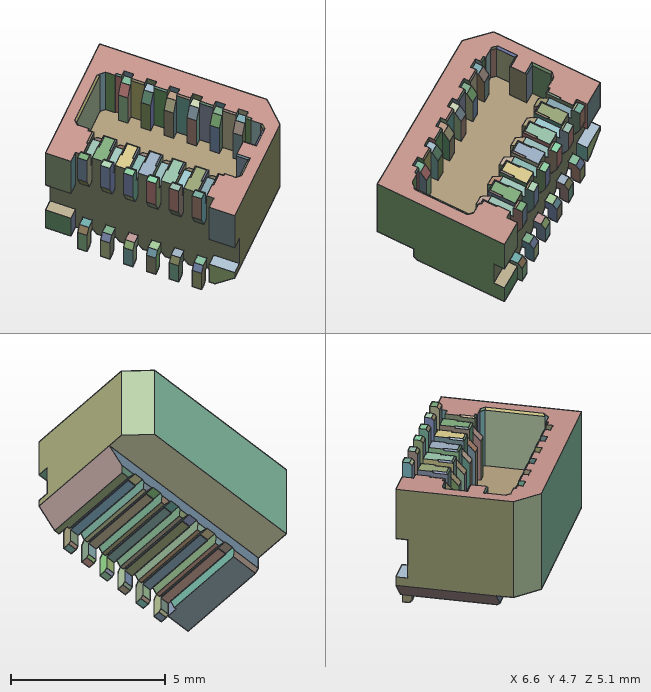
import cadquery as cq


WIDTH = 6.6
DEPTH = 4.65
HEIGHT = 4.2
REAR_CORNER_CHAMFER = 0.76
SIDE_CORNER_CHAMFER = 0.69
STEP_Y = 3.325
STEP_Z = 0.7
STEP_CHAMFER = 0.14

FOOT_WIDTH = 0.89
FOOT_HEIGHT = 0.39
UPPER_FOOT_LENGTH = 1.8
LOWER_FOOT_LENGTH = 1.0

CAVITY_Y = 2.555
CAVITY_DEPTH = 2.1
CAVITY_HALF_X = 2.84
CAVITY_HALF_Y = 1.135
CAVITY_CORNER = 0.14
RELIEF_HALF_X = 2.36
RELIEF_HALF_Y = 1.17
END_LEAD_IN = 0.07
ROW_LEAD_IN = 0.05
KEY_TIP_X = 2.45
KEY_WIDTH = 0.63

CONTACT_COUNT = 6
PITCH = 0.8
CONTACT_WIDTH = 0.33
CONTACT_DROP = 0.265
TIP_FROM_MIDDLE = 0.905
TIP_SLOPE_DROP = 0.42
REAR_CREST = 1.12
FRONT_CREST = 1.3
REAR_SLOT_END = 1.405
FRONT_LEAD_IN_END = 0.92

TAIL_PROUD = 0.045
TAIL_THICKNESS = 0.33
TAIL_CHAMFER = 0.09
UPPER_TAIL_RISE = 0.4
UPPER_BEND_START = 0.8
UPPER_BEND_END = 1.3
UPPER_BEND_RUN = 0.2
LOWER_TAIL_DROP = 0.5
LOWER_BAR_THICKNESS = 0.47
LOWER_BEND_TOP = 0.65
LOWER_BEND_BOTTOM = 0.41
LOWER_BEND_RUN = 0.16

LOWER_SLOT_TOP = 0.69
LOWER_SLOT_END = 2.995
FLARE_HEIGHT = 0.22
FLARE_REACH = 0.165

CONTACT_TOP = HEIGHT - CONTACT_DROP
FLOOR_Z = HEIGHT - CAVITY_DEPTH
TAIL_FACE_Y = -TAIL_PROUD
TAIL_BACK_Y = TAIL_FACE_Y + TAIL_THICKNESS
CONTACT_XS = [(i - (CONTACT_COUNT - 1) / 2) * PITCH for i in range(CONTACT_COUNT)]


def box(x0, x1, y0, y1, z0, z1):
    return cq.Workplane("XY").box(x1 - x0, y1 - y0, z1 - z0, centered=False).translate((x0, y0, z0))


def profile_plate(points, x, width):
    """Extrude a (Y, Z) outline along X, centred on x."""
    plane = cq.Workplane("YZ", origin=(x - width / 2, 0, 0))
    return plane.polyline(points).close().extrude(width)


def funnel(lower, upper, depth):
    """Lead-in widening from the outline `lower` to `upper` at the housing top."""
    return (
        cq.Workplane("XY", origin=(0, 0, HEIGHT - depth))
        .polyline(lower).close()
        .workplane(offset=depth)
        .polyline(upper).close()
        .loft(ruled=True, combine=True)
    )


def rectangle(x0, x1, y0, y1):
    return [(x0, y0), (x1, y0), (x1, y1), (x0, y1)]


def cavity_outline(lead_in):
    """Rectangle with cut corners, its end walls moved outwards by `lead_in`.

    The cut of the rear corner at -X has no lead-in: it keeps its plane and only grows longer.
    """
    half_x = CAVITY_HALF_X + lead_in
    flat_x = half_x - CAVITY_CORNER
    flat_y = CAVITY_HALF_Y - CAVITY_CORNER
    corners = [
        (half_x, flat_y), (flat_x, CAVITY_HALF_Y),
        (CAVITY_CORNER - CAVITY_HALF_X, CAVITY_HALF_Y), (-half_x, flat_y - lead_in),
        (-half_x, -flat_y), (-flat_x, -CAVITY_HALF_Y),
        (flat_x, -CAVITY_HALF_Y), (half_x, -flat_y),
    ]
    return [(x, CAVITY_Y + y) for x, y in corners]


def make_housing():
    side = [
        (0, 0), (STEP_Y - STEP_CHAMFER, 0), (STEP_Y, STEP_CHAMFER), (STEP_Y, STEP_Z),
        (DEPTH, STEP_Z), (DEPTH, HEIGHT), (0, HEIGHT),
    ]
    body = profile_plate(side, 0, WIDTH)

    rear_corner = [
        (WIDTH / 2, DEPTH), (WIDTH / 2 - REAR_CORNER_CHAMFER, DEPTH),
        (WIDTH / 2, DEPTH - REAR_CORNER_CHAMFER),
    ]
    body = body.cut(cq.Workplane("XY").polyline(rear_corner).close().extrude(HEIGHT))
    side_corner = [
        (WIDTH / 2, 0), (WIDTH / 2 - SIDE_CORNER_CHAMFER, 0), (WIDTH / 2, SIDE_CORNER_CHAMFER),
    ]
    body = body.cut(cq.Workplane("XZ").polyline(side_corner).close().extrude(-DEPTH))

    inner_x = WIDTH / 2 - FOOT_WIDTH
    body = body.cut(box(-inner_x, inner_x, 0, FOOT_HEIGHT, 0, HEIGHT))
    gap_top = HEIGHT - UPPER_FOOT_LENGTH
    return body.cut(box(-WIDTH / 2, WIDTH / 2, 0, FOOT_HEIGHT, LOWER_FOOT_LENGTH, gap_top))


def make_key():
    """Key on the end wall, narrowed at the top by the lead-in on both flanks."""
    half = KEY_WIDTH / 2
    outline = [
        (CAVITY_Y - half, FLOOR_Z), (CAVITY_Y + half, FLOOR_Z),
        (CAVITY_Y + half, HEIGHT - ROW_LEAD_IN), (CAVITY_Y + half - ROW_LEAD_IN, HEIGHT),
        (CAVITY_Y - half + ROW_LEAD_IN, HEIGHT), (CAVITY_Y - half, HEIGHT - ROW_LEAD_IN),
    ]
    length = CAVITY_HALF_X + END_LEAD_IN - KEY_TIP_X
    return profile_plate(outline, KEY_TIP_X + length / 2, length)


def make_cavity():
    main = cavity_outline(0)
    cavity = cq.Workplane("XY", origin=(0, 0, FLOOR_Z)).polyline(main).close().extrude(CAVITY_DEPTH)
    cavity = cavity.union(funnel(main, cavity_outline(END_LEAD_IN), END_LEAD_IN))
    cavity = cavity.cut(make_key())

    relief_front = CAVITY_Y - RELIEF_HALF_Y
    relief_rear = CAVITY_Y + RELIEF_HALF_Y
    cavity = cavity.union(
        box(-RELIEF_HALF_X, RELIEF_HALF_X, relief_front, relief_rear, FLOOR_Z, HEIGHT)
    )
    lower = rectangle(-RELIEF_HALF_X, RELIEF_HALF_X, relief_front, relief_rear)
    upper = rectangle(
        -RELIEF_HALF_X, RELIEF_HALF_X, relief_front - ROW_LEAD_IN, relief_rear + ROW_LEAD_IN
    )
    return cavity.union(funnel(lower, upper, ROW_LEAD_IN))


def make_top_slots(x):
    """Slot above the front and rear contact, with a lead-in on the front one."""
    half = CONTACT_WIDTH / 2
    slot = box(x - half, x + half, 0, CAVITY_Y + REAR_SLOT_END, CONTACT_TOP, HEIGHT)
    slot = slot.union(
        box(x - half, x + half, CAVITY_Y - FRONT_CREST, CAVITY_Y, CONTACT_TOP - TIP_SLOPE_DROP, HEIGHT)
    )
    lower = rectangle(x - half, x + half, FRONT_LEAD_IN_END, CAVITY_Y)
    upper = rectangle(
        x - half - ROW_LEAD_IN, x + half + ROW_LEAD_IN, FRONT_LEAD_IN_END - ROW_LEAD_IN, CAVITY_Y
    )
    return slot.union(funnel(lower, upper, ROW_LEAD_IN))


def make_lower_slot(x):
    """Blind slot for the lower tail, below it a flare that runs through the whole block."""
    half = CONTACT_WIDTH / 2
    mouth = half + FLARE_REACH
    flare = [(x - mouth, 0), (x - half, FLARE_HEIGHT), (x + half, FLARE_HEIGHT), (x + mouth, 0)]
    slot = cq.Workplane("XZ").polyline(flare).close().extrude(-STEP_Y)
    return slot.union(box(x - half, x + half, 0, LOWER_SLOT_END, 0, LOWER_SLOT_TOP))


def make_front_contact(x):
    """Blade on the front cavity wall, leading over the wall to the upper tail."""
    tip_y = CAVITY_Y - TIP_FROM_MIDDLE
    tail_top = HEIGHT + UPPER_TAIL_RISE
    outline = [
        (tip_y, FLOOR_Z), (tip_y, CONTACT_TOP - TIP_SLOPE_DROP),
        (CAVITY_Y - FRONT_CREST, CONTACT_TOP), (TAIL_BACK_Y, CONTACT_TOP),
        (TAIL_BACK_Y, tail_top - TAIL_CHAMFER), (TAIL_BACK_Y - TAIL_CHAMFER, tail_top),
        (TAIL_FACE_Y, tail_top), (TAIL_FACE_Y, HEIGHT - UPPER_BEND_START),
        (TAIL_FACE_Y + UPPER_BEND_RUN, HEIGHT - UPPER_BEND_END),
        (FOOT_HEIGHT, HEIGHT - UPPER_BEND_END), (FOOT_HEIGHT, FLOOR_Z),
    ]
    return profile_plate(outline, x, CONTACT_WIDTH)


def make_rear_contact(x):
    """Blade on the rear cavity wall, filling its slot."""
    tip_y = CAVITY_Y + TIP_FROM_MIDDLE
    back_y = CAVITY_Y + REAR_SLOT_END
    outline = [
        (tip_y, FLOOR_Z), (tip_y, CONTACT_TOP - TIP_SLOPE_DROP),
        (CAVITY_Y + REAR_CREST, CONTACT_TOP), (back_y, CONTACT_TOP), (back_y, FLOOR_Z),
    ]
    return profile_plate(outline, x, CONTACT_WIDTH)


def make_lower_tail(x):
    """Bar along the lower slot, bent down at the mounting face."""
    bar_bottom = LOWER_BEND_TOP - LOWER_BAR_THICKNESS
    outline = [
        (LOWER_SLOT_END, LOWER_BEND_TOP), (TAIL_FACE_Y + LOWER_BEND_RUN, LOWER_BEND_TOP),
        (TAIL_FACE_Y, LOWER_BEND_BOTTOM), (TAIL_FACE_Y, -LOWER_TAIL_DROP),
        (TAIL_BACK_Y - TAIL_CHAMFER, -LOWER_TAIL_DROP),
        (TAIL_BACK_Y, TAIL_CHAMFER - LOWER_TAIL_DROP),
        (TAIL_BACK_Y, bar_bottom), (LOWER_SLOT_END, bar_bottom),
    ]
    return profile_plate(outline, x, CONTACT_WIDTH)


result = make_housing().cut(make_cavity())
for contact_x in CONTACT_XS:
    result = result.cut(make_top_slots(contact_x)).cut(make_lower_slot(contact_x))
    result = result.union(make_front_contact(contact_x))
    result = result.union(make_rear_contact(contact_x))
    result = result.union(make_lower_tail(contact_x))